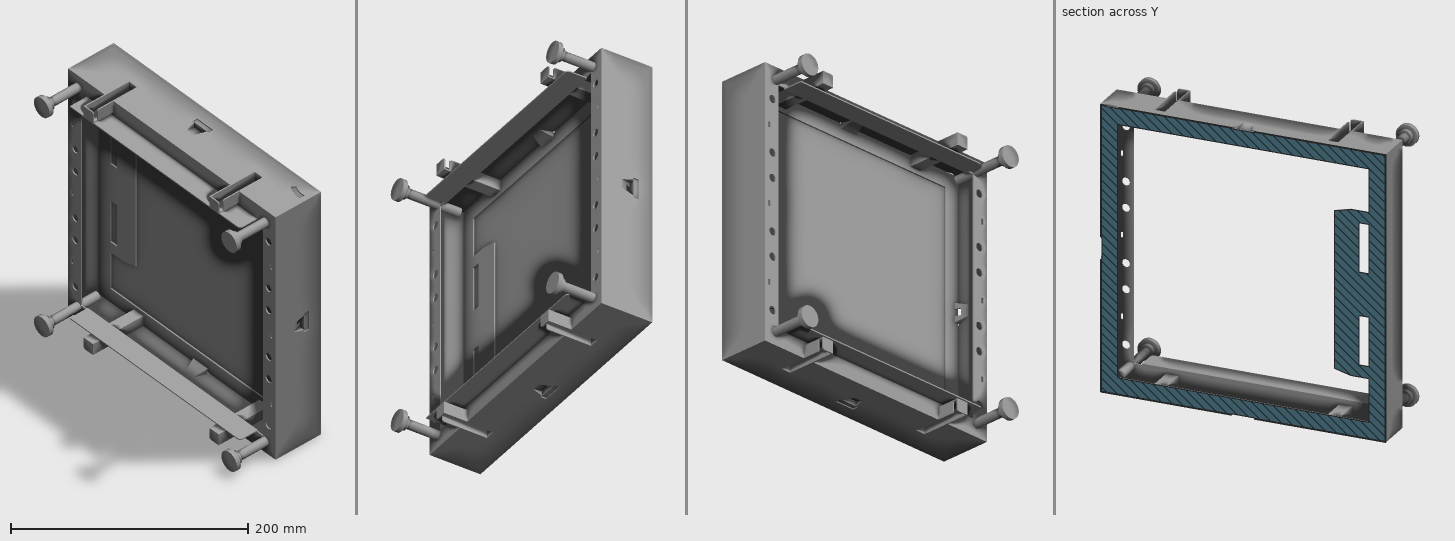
import cadquery as cq
import math


CASE_SIZE = 264.0
CASE_DEPTH = 51.2
SHEET = 1.2
HALF = CASE_SIZE / 2
INNER_HALF = HALF - SHEET
FRONT_Y = -CASE_DEPTH

PANEL_DEPTH = 18.0
PANEL_FRONT_Y = -PANEL_DEPTH
RECESS_DEPTH = 1.5
RECESS_HALF = 116.0

TAB_REACH = 32.0
TAB_STRAIGHT = 16.0
TAB_HALF_HEIGHT = 76.3
TAB_EDGE_HALF_HEIGHT = 72.4
TAB_WINDOW_WIDTH = 8.7
TAB_WINDOW_HEIGHT = 45.0
TAB_WINDOW_Z = 42.5

FLANGE_WIDTH = 16.0
FLANGE_EDGE = HALF - FLANGE_WIDTH
LIP_HALF_WIDTH = 108.3
LIP_LENGTH = 19.0
LIP_CORNER_RADIUS = 3.5

FIXING_PITCH = 74.7
FIXING_HOLE_OFFSET = 25.4
FIXING_HOLE_DIAMETER = 7.5
FIXING_HOLE_X = 123.0
FIXING_SLOT_X = 126.8
FIXING_SLOT_WIDTH = 2.0
FIXING_SLOT_HEIGHT = 5.3

HOOK_X = 80.0
HOOK_WIDTH = 12.0
HOOK_SLOT_WIDTH = HOOK_WIDTH - 2 * SHEET
HOOK_HEIGHT = 12.0
HOOK_SLOT_END_Y = -24.3
HOOK_LENGTH = 23.2
HOOK_FRONT_Y = FRONT_Y - HOOK_LENGTH
HOOK_GAP = 4.2
HOOK_CORNER_RADIUS = 2.0

LOUVRE_SLOT_WIDTH = 20.3
LOUVRE_SLOT_REAR_Y = -13.7
LOUVRE_MOUTH_Y = -19.0
LOUVRE_TIP_Y = -30.6
LOUVRE_MOUTH_WIDTH = 16.0
LOUVRE_TIP_WIDTH = 8.5
LOUVRE_DEPTH = 5.3
LOUVRE_NOTCH_HEIGHT = 6.5
LOUVRE_NOTCH_LENGTH = 5.3

SQUARE_HOLE_SIZE = 5.3
SQUARE_HOLE_X = 123.9
SQUARE_HOLE_Y = -16.5
CURVED_SLOT_RADIUS = 23.8
CURVED_SLOT_WIDTH = 4.8
CURVED_SLOT_ANGLE = 32.0

FOOT_OFFSET = 119.5
STEM_DIAMETER = 8.7
STEM_INSIDE_LENGTH = 21.5
STEM_OUTSIDE_LENGTH = 32.2
COLLAR_DIAMETER = 13.0
COLLAR_THICKNESS = 4.2
DISC_DIAMETER = 19.8
TOTAL_DEPTH = 92.2


def block(x_range, y_range, z_range):
    """Box between two limits along each axis."""
    spans = [(min(r), max(r)) for r in (x_range, y_range, z_range)]
    sizes = [high - low for low, high in spans]
    corner = [low for low, high in spans]
    return cq.Workplane("XY").box(*sizes, centered=False).translate(tuple(corner))


def plate(half_width, half_height, y_range):
    """Rectangular plate centred on the Y axis."""
    return block((-half_width, half_width), y_range, (-half_height, half_height))


def turned(body, angle):
    """Copy of a body rotated about the Y axis."""
    return body.rotate((0, 0, 0), (0, 1, 0), angle)


def make_shell():
    """Four walls with a flange turned inward at the front."""
    walls = plate(HALF, HALF, (FRONT_Y, 0)).cut(plate(INNER_HALF, INNER_HALF, (FRONT_Y, 0)))
    flange_y = (FRONT_Y, FRONT_Y + SHEET)
    flange = plate(INNER_HALF, INNER_HALF, flange_y)
    flange = flange.cut(plate(FLANGE_EDGE, FLANGE_EDGE, flange_y))
    return walls.union(flange)


def make_lip():
    """Lip along the top flange, bent forward, with its right front corner rounded."""
    lip = block(
        (-LIP_HALF_WIDTH, LIP_HALF_WIDTH),
        (FRONT_Y - LIP_LENGTH, FRONT_Y + SHEET),
        (FLANGE_EDGE - SHEET, FLANGE_EDGE),
    )
    return lip.edges("|Z and >X and <Y").fillet(LIP_CORNER_RADIUS)


def fixing_cutters():
    """Round holes and small slots along both side flanges."""
    flange_y = (FRONT_Y, FRONT_Y + SHEET)
    hole_points = []
    slots = cq.Workplane("XY")
    for side in (-1, 1):
        for row in (-1, 0, 1):
            z = row * FIXING_PITCH
            hole_points.append((side * FIXING_HOLE_X, z - FIXING_HOLE_OFFSET))
            hole_points.append((side * FIXING_HOLE_X, z + FIXING_HOLE_OFFSET))
            slot = plate(FIXING_SLOT_WIDTH / 2, FIXING_SLOT_HEIGHT / 2, flange_y)
            slots = slots.union(slot.translate((side * FIXING_SLOT_X, 0, z)))
    holes = (
        cq.Workplane("XZ", origin=(0, FRONT_Y + SHEET, 0))
        .pushPoints(hole_points)
        .circle(FIXING_HOLE_DIAMETER / 2)
        .extrude(SHEET)
    )
    return holes.union(slots)


def make_hook(x):
    """Channel in the top wall, from a solid root to an end cap, and the cutter for its slot."""
    floor_z = HALF - HOOK_HEIGHT
    floor_top_z = floor_z + SHEET
    cap_y = HOOK_FRONT_Y + SHEET
    wall_end_y = cap_y + HOOK_GAP
    slot_x = HOOK_SLOT_WIDTH / 2
    wall_x = HOOK_WIDTH / 2

    base = block((-wall_x, wall_x), (HOOK_FRONT_Y, HOOK_SLOT_END_Y), (floor_z, floor_top_z))
    cap = block((-wall_x, wall_x), (HOOK_FRONT_Y, cap_y), (floor_z, HALF))
    cap = cap.edges("|Y and >X and >Z").fillet(HOOK_CORNER_RADIUS)
    long_wall = block((-wall_x, -slot_x), (cap_y, HOOK_SLOT_END_Y), (floor_top_z, HALF))
    short_wall = block((slot_x, wall_x), (wall_end_y, HOOK_SLOT_END_Y), (floor_top_z, HALF))
    short_wall = short_wall.edges("|X and <Y and >Z").fillet(HOOK_CORNER_RADIUS)
    root = block((-wall_x, wall_x), (HOOK_SLOT_END_Y, PANEL_FRONT_Y), (floor_z, HALF))

    hook = base.union(cap).union(long_wall).union(short_wall).union(root)
    slot = block((-slot_x, slot_x), (cap_y, HOOK_SLOT_END_Y), (floor_top_z, HALF))
    return hook.translate((x, 0, 0)), slot.translate((x, 0, 0))


def louvre_wedge(drop, margin):
    """Wedge under the top wall: widest and deepest at its mouth, tapering to its tip."""
    mouth = LOUVRE_MOUTH_WIDTH / 2 + margin
    tip = LOUVRE_TIP_WIDTH / 2 + margin
    outline = (
        cq.Workplane("XY", origin=(0, 0, HALF - drop - LOUVRE_DEPTH))
        .moveTo(-mouth, LOUVRE_MOUTH_Y)
        .lineTo(mouth, LOUVRE_MOUTH_Y)
        .lineTo(tip, LOUVRE_TIP_Y)
        .lineTo(-tip, LOUVRE_TIP_Y)
        .close()
        .extrude(LOUVRE_DEPTH)
    )
    top_z = HALF - drop
    ramp = (
        cq.Workplane("YZ", origin=(-mouth, 0, 0))
        .polyline([(LOUVRE_MOUTH_Y, top_z), (LOUVRE_MOUTH_Y, top_z - LOUVRE_DEPTH), (LOUVRE_TIP_Y, top_z)])
        .close()
        .extrude(2 * mouth)
    )
    return outline.intersect(ramp)


def make_louvre():
    """Pressed-in ramp of the top wall, and the cutter for its pocket and slot."""
    outside = louvre_wedge(SHEET, SHEET)
    slot_x = LOUVRE_SLOT_WIDTH / 2
    slot = block((-slot_x, slot_x), (LOUVRE_MOUTH_Y, LOUVRE_SLOT_REAR_Y), (INNER_HALF, HALF))
    return outside, louvre_wedge(0, 0).union(slot)


def louvre_notch():
    """Notch in the mouth of a louvre."""
    half_width = LOUVRE_NOTCH_HEIGHT / 2
    bottom_z = INNER_HALF - LOUVRE_DEPTH
    y_range = (LOUVRE_MOUTH_Y - LOUVRE_NOTCH_LENGTH, LOUVRE_MOUTH_Y)
    return block((-half_width, half_width), y_range, (bottom_z, INNER_HALF))


def curved_slot_cutter():
    """Square hole and the curved slot that leads into it, through the top wall."""
    centre_y = SQUARE_HOLE_Y + CURVED_SLOT_RADIUS

    def slot_point(radius, share):
        angle = math.radians(CURVED_SLOT_ANGLE * share)
        return SQUARE_HOLE_X - radius * math.sin(angle), centre_y - radius * math.cos(angle)

    outer = CURVED_SLOT_RADIUS + CURVED_SLOT_WIDTH / 2
    inner = CURVED_SLOT_RADIUS - CURVED_SLOT_WIDTH / 2
    slot = (
        cq.Workplane("XY", origin=(0, 0, INNER_HALF))
        .moveTo(*slot_point(outer, 0))
        .threePointArc(slot_point(outer, 0.5), slot_point(outer, 1))
        .lineTo(*slot_point(inner, 1))
        .threePointArc(slot_point(inner, 0.5), slot_point(inner, 0))
        .close()
        .extrude(SHEET)
    )
    hole = (
        cq.Workplane("XY", origin=(SQUARE_HOLE_X, SQUARE_HOLE_Y, INNER_HALF))
        .rect(SQUARE_HOLE_SIZE, SQUARE_HOLE_SIZE)
        .extrude(SHEET)
    )
    return slot.union(hole)


def make_foot(x, z):
    """Stem through the front flange, with a collar and a disc at its end."""
    stem_end = FRONT_Y - STEM_OUTSIDE_LENGTH
    collar_end = stem_end - COLLAR_THICKNESS

    def cylinder(diameter, start_y, end_y):
        base = cq.Workplane("XZ", origin=(x, start_y, z))
        return base.circle(diameter / 2).extrude(start_y - end_y)

    stem = cylinder(STEM_DIAMETER, FRONT_Y + STEM_INSIDE_LENGTH, stem_end)
    collar = cylinder(COLLAR_DIAMETER, stem_end, collar_end)
    disc = cylinder(DISC_DIAMETER, collar_end, -TOTAL_DEPTH)
    return stem.union(collar).union(disc)


def make_housing():
    """Sheet case with its lips, hooks, louvres and feet."""
    housing = make_shell()

    lip = make_lip()
    housing = housing.union(lip).union(lip.mirror("XY"))

    for x in (-HOOK_X, HOOK_X):
        hook, hook_cutter = make_hook(x)
        for angle in (0, 180):
            housing = housing.union(turned(hook, angle)).cut(turned(hook_cutter, angle))

    louvre, louvre_cutter = make_louvre()
    for angle in (0, 90, 180):
        housing = housing.union(turned(louvre, angle)).cut(turned(louvre_cutter, angle))
    housing = housing.cut(turned(louvre_notch(), 90))

    housing = housing.cut(curved_slot_cutter()).cut(fixing_cutters())

    for x in (-FOOT_OFFSET, FOOT_OFFSET):
        for z in (-FOOT_OFFSET, FOOT_OFFSET):
            housing = housing.union(make_foot(x, z))
    return housing


def make_tab(recess_y):
    """Tab standing on the recess floor, with two windows along the recess edge."""
    root_x = -RECESS_HALF
    tip_x = root_x + TAB_REACH
    bend_x = root_x + TAB_STRAIGHT
    tab = (
        cq.Workplane("XZ", origin=(0, max(recess_y), 0))
        .moveTo(root_x, -TAB_HALF_HEIGHT)
        .lineTo(bend_x, -TAB_HALF_HEIGHT)
        .lineTo(tip_x, -TAB_EDGE_HALF_HEIGHT)
        .lineTo(tip_x, TAB_EDGE_HALF_HEIGHT)
        .lineTo(bend_x, TAB_HALF_HEIGHT)
        .lineTo(root_x, TAB_HALF_HEIGHT)
        .close()
        .extrude(RECESS_DEPTH)
    )
    for z in (-TAB_WINDOW_Z, TAB_WINDOW_Z):
        z_range = (z - TAB_WINDOW_HEIGHT / 2, z + TAB_WINDOW_HEIGHT / 2)
        tab = tab.cut(block((root_x, root_x + TAB_WINDOW_WIDTH), recess_y, z_range))
    return tab


def make_panel():
    """Panel that fills the rear of the case, recessed in front around its tab."""
    recess_y = (PANEL_FRONT_Y, PANEL_FRONT_Y + RECESS_DEPTH)
    panel = plate(INNER_HALF, INNER_HALF, (PANEL_FRONT_Y, 0))
    recess = plate(RECESS_HALF, RECESS_HALF, recess_y)
    return panel.cut(recess.cut(make_tab(recess_y)))


housing = make_housing()
panel = make_panel()
result = cq.Compound.makeCompound([housing.val(), panel.val()])